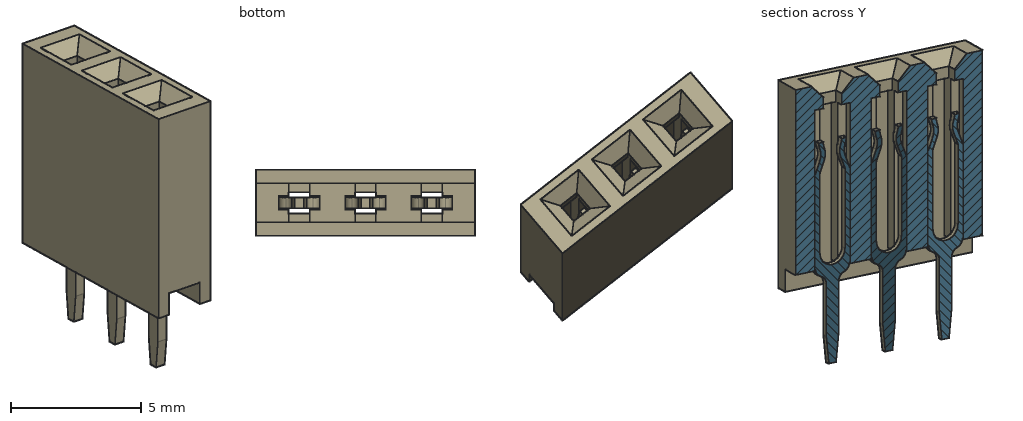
import cadquery as cq
import math


contact_count = 3
pitch = 2.54
contact_x = [(i - (contact_count - 1) / 2) * pitch for i in range(contact_count)]

housing_length = 8.42
housing_width = 2.54
housing_bottom = 2.99
housing_top = 11.5
channel_width = 1.51
channel_top = 3.91

funnel_side = 1.9
throat_side = 0.8
throat_length = 0.47
funnel_depth = (funnel_side - throat_side) / 2
throat_top = housing_top - funnel_depth
throat_bottom = throat_top - throat_length
arm_slot_width = 0.54

contact_thickness = 0.43
tip_width = 0.35
tail_width = 0.58
tip_height = 1.15
tail_top = 3.3

shoulder_angle = math.radians(70)
lower_shoulder_radius = 0.36
upper_shoulder_radius = 0.39

fork_gap_radius = 0.55
fork_base_z = 4.6
pinch_z = 8.62
pinch_half_gap = 0.31
pinch_radius = 0.69
pinch_angle = math.radians(21)


def arc_step(radius, angle):
    """Sideways and upward travel of an arc that starts upright and turns by angle."""
    return radius * (1 - math.cos(angle)), radius * math.sin(angle)


lower_step_x, lower_step_z = arc_step(lower_shoulder_radius, shoulder_angle)
lower_mid_x, lower_mid_z = arc_step(lower_shoulder_radius, shoulder_angle / 2)
upper_step_x, upper_step_z = arc_step(upper_shoulder_radius, shoulder_angle)
upper_mid_x, upper_mid_z = arc_step(upper_shoulder_radius, shoulder_angle / 2)
fork_half_width = tail_width / 2 + lower_step_x + upper_step_x
fork_z = tail_top + lower_step_z + upper_step_z
arm_thickness = fork_half_width - fork_gap_radius

pinch_step_x, pinch_step_z = arc_step(pinch_radius, pinch_angle)
pinch_mid_x, pinch_mid_z = arc_step(pinch_radius, pinch_angle / 2)
pinch_side_x = pinch_half_gap + pinch_step_x
mouth_x = pinch_side_x + pinch_step_x
mouth_z = pinch_z + 2 * pinch_step_z
knee_z = pinch_z - pinch_step_z - (fork_gap_radius - pinch_side_x) / math.tan(pinch_angle)


def block(size_x, size_y, bottom, top):
    """Upright block centred on the Z axis."""
    height = top - bottom
    return cq.Workplane("XY").box(size_x, size_y, height).translate((0, 0, bottom + height / 2))


def make_contact_cavity():
    """Space in the housing around one contact, from the funnel down to the channel."""
    funnel = (
        cq.Workplane("XY").workplane(offset=throat_top).rect(throat_side, throat_side)
        .workplane(offset=funnel_depth).rect(funnel_side, funnel_side)
        .loft(ruled=True)
    )
    throat = block(throat_side, throat_side, throat_bottom, throat_top)
    chamber = block(throat_side, channel_width, channel_top, throat_bottom)
    arm_slot = block(2 * fork_half_width, arm_slot_width, channel_top, throat_bottom)
    return funnel.union(throat).union(chamber).union(arm_slot)


def make_housing():
    """Plastic block with the underside channel and one cavity per contact."""
    housing = block(housing_length, housing_width, housing_bottom, housing_top)
    housing = housing.cut(block(housing_length, channel_width, housing_bottom, channel_top))
    cavity = make_contact_cavity()
    for x in contact_x:
        housing = housing.cut(cavity.translate((x, 0, 0)))
    return housing.solids()


def arm_bend(outline, offset, direction):
    """Bent stretch of an arm between knee and mouth: direction 1 draws it upwards, -1 downwards."""
    knee = (fork_gap_radius + offset, knee_z)
    pinch_start = (pinch_side_x + offset, pinch_z - pinch_step_z)
    pinch = (pinch_half_gap + offset, pinch_z)
    pinch_end = (pinch_side_x + offset, pinch_z + pinch_step_z)
    flare_middle = (mouth_x - pinch_mid_x + offset, mouth_z - pinch_mid_z)
    mouth = (mouth_x + offset, mouth_z)
    if direction > 0:
        outline = outline.lineTo(*pinch_start).threePointArc(pinch, pinch_end)
        return outline.threePointArc(flare_middle, mouth)
    outline = outline.threePointArc(flare_middle, pinch_end)
    return outline.threePointArc(pinch, pinch_start).lineTo(*knee)


def half_contact():
    """The +X half of a contact, its outline drawn in the XZ plane from the tip upwards."""
    outline = (
        cq.Workplane("XZ", origin=(0, contact_thickness / 2, 0))
        .lineTo(tip_width / 2, 0)
        .lineTo(tail_width / 2, tip_height)
        .lineTo(tail_width / 2, tail_top)
        .threePointArc(
            (tail_width / 2 + lower_mid_x, tail_top + lower_mid_z),
            (tail_width / 2 + lower_step_x, tail_top + lower_step_z),
        )
        .threePointArc(
            (fork_half_width - upper_mid_x, fork_z - upper_mid_z),
            (fork_half_width, fork_z),
        )
    )
    outline = outline.lineTo(fork_half_width, knee_z)
    outline = arm_bend(outline, arm_thickness, 1)
    outline = outline.lineTo(mouth_x, mouth_z)
    outline = arm_bend(outline, 0, -1)
    gap_mid = fork_gap_radius * math.sqrt(0.5)
    return (
        outline.lineTo(fork_gap_radius, fork_base_z)
        .threePointArc((gap_mid, fork_base_z - gap_mid), (0, fork_base_z - fork_gap_radius))
        .close()
        .extrude(contact_thickness)
    )


def make_contact(x):
    """One whole contact as a single solid, placed at x along the row."""
    half = half_contact()
    return half.union(half.mirror("YZ")).translate((x, 0, 0)).solids()


housing = make_housing()
contacts = [make_contact(x) for x in contact_x]

result = cq.Compound.makeCompound([housing.val(), *[contact.val() for contact in contacts]])